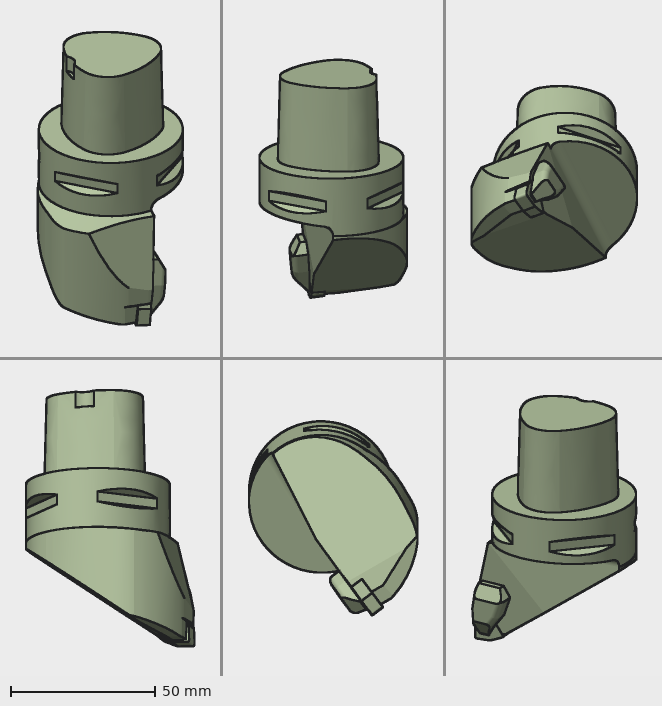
import cadquery as cq
import math


shank_length = 30.0
shank_taper = math.degrees(math.atan(1 / 40))
lobe_reach = 18.8
flank_reach = 16.1
lobe_radius = 11.1
lobe_step = 60
notch_radius = 4.6
notch_floor_y = -13.8
notch_height = 5.6

flange_radius = 25.0
flange_height = 20.9
slot_count = 4
slot_start_angle = 45
slot_flat_distance = 22.1
slot_mid_z = -10.1
slot_floor_height = 3.5
slot_mouth_height = 6.5
front_face_y = 5.0
relief_edge_z = -16.0
relief_root_y = 8.6
relief_root_z = -17.4

overlap = 1.0
cutter_size = 140.0

head_side_x = 34.3
head_back_y = -27.97
rim_arc_angle = 210
blend_start = (-11.9, -22.0)
blend_end = (-9.05, -23.5)
back_arc_mid = (-0.6, -26.85)
back_flat_start_x = 8.3
back_flat_end_x = 14.25
corner_mid = (18.0, -27.51)
corner_end = (21.5, -26.2)
side_arc_mid = (29.9, -16.8)
side_flat_start = (33.7, -7.2)

cone_slope = math.tan(math.radians(15))
outer_slope = math.tan(math.radians(15.4))
outer_straight_z = -46.5
seat_relief_z = -51.8
seat_relief_x = 33.4
head_bottom_z = -58.6
heel_x = 28.0
heel_z = -58.2
knee_x = 21.4
knee_z = -55.1
ramp_start_z = -22.0
clearance_point = (21.5, -26.2, -54.3)
clearance_fall_x = 0.115
clearance_fall_y = 0.178

insert_circle = 9.525
insert_thickness = 4.76
nose_radius = 0.8
corner_count = 3
corner_angle = 80
middle_angle = 160
tip_direction = 45
insert_center = (30.05, 1.19, -54.87)
rake_tilt = math.tan(math.radians(6))

clamp_outline = [
    (-11.0, -14.2), (-8.5, -18.2), (0.5, -18.2), (2.6, -9.0),
    (2.6, 2.5), (-0.9, 2.5), (-2.8, -0.6), (-8.0, -7.0),
]
clamp_height = 5.4
clamp_edge = 2.0
nose_slope_start = -4.6
nose_thickness = 0.4
tail_slope_start = -13.6
tail_thickness = 2.2

rake_plane = cq.Plane(
    origin=insert_center,
    xDir=(1, -rake_tilt, 0),
    normal=(rake_tilt, 1, -rake_tilt),
)


def polar(radius, degrees):
    angle = math.radians(degrees)
    return (radius * math.cos(angle), radius * math.sin(angle))


def make_shank():
    """Rounded-triangle taper with a notch in its end, resting on the flange."""
    lobe_offset = lobe_reach - lobe_radius
    gap = flank_reach - lobe_radius
    flank_offset = (lobe_offset**2 - gap**2) / (2 * gap - lobe_offset)
    flank_radius = flank_reach + flank_offset
    lobe_x, lobe_y = polar(lobe_offset, -30)
    stretch = flank_radius / (flank_radius - lobe_radius)
    joint_x = lobe_x * stretch
    joint_y = flank_offset + (lobe_y - flank_offset) * stretch
    joint_radius = math.hypot(joint_x, joint_y)
    half_flank = math.degrees(math.atan2(joint_x, -joint_y))

    profile = cq.Workplane("XY").moveTo(*polar(joint_radius, -90 - half_flank))
    for flank_angle in (-90, 30, 150):
        lobe_angle = flank_angle + lobe_step
        profile = profile.threePointArc(
            polar(flank_reach, flank_angle), polar(joint_radius, flank_angle + half_flank)
        )
        profile = profile.threePointArc(
            polar(lobe_reach, lobe_angle), polar(joint_radius, flank_angle + 2 * lobe_step - half_flank)
        )
    shank = profile.close().extrude(shank_length, taper=shank_taper)
    notch = (
        cq.Workplane("XY", origin=(0, notch_floor_y - notch_radius, shank_length - notch_height))
        .circle(notch_radius)
        .extrude(notch_height + overlap)
    )
    return shank.cut(notch)


def make_flange():
    """Gripper flange with four V slots, its underside cleared on the +Y half."""
    flange = cq.Workplane("XY").circle(flange_radius).extrude(-flange_height)
    depth = flange_radius + overlap - slot_flat_distance
    flare = (slot_mouth_height - slot_floor_height) / 2
    flare *= depth / (flange_radius - slot_flat_distance)
    half_floor = slot_floor_height / 2
    slot = (
        cq.Workplane("XZ", origin=(slot_flat_distance, 0, slot_mid_z))
        .polyline([
            (0, -half_floor), (depth, -half_floor - flare),
            (depth, half_floor + flare), (0, half_floor),
        ])
        .close()
        .extrude(flange_radius, both=True)
    )
    for i in range(slot_count):
        flange = flange.cut(slot.rotate((0, 0, 0), (0, 0, 1), slot_start_angle + i * 360 / slot_count))

    slope = (relief_edge_z - relief_root_z) / (flange_radius - relief_root_y)
    end_y = flange_radius + overlap
    root_width = relief_root_y - front_face_y
    root_drop = flange_height + relief_root_z
    bulge = 1 - math.sqrt(0.5)
    relief = (
        cq.Workplane("YZ", origin=(-end_y, 0, 0))
        .moveTo(front_face_y, -flange_height - overlap)
        .lineTo(front_face_y, -flange_height)
        .threePointArc(
            (front_face_y + bulge * root_width, relief_root_z - bulge * root_drop),
            (relief_root_y, relief_root_z),
        )
        .lineTo(end_y, relief_edge_z + slope * overlap)
        .lineTo(end_y, -flange_height - overlap)
        .close()
        .extrude(2 * end_y)
    )
    return flange.cut(relief)


def make_head():
    """Slanted head below the flange, with its front cut down to the rake plane."""
    plan = (
        cq.Workplane("XY", origin=(0, 0, head_bottom_z - overlap))
        .moveTo(-math.sqrt(flange_radius**2 - front_face_y**2), front_face_y)
        .threePointArc(polar(flange_radius, rim_arc_angle), blend_start)
        .lineTo(*blend_end)
        .threePointArc(back_arc_mid, (back_flat_start_x, head_back_y))
        .lineTo(back_flat_end_x, head_back_y)
        .threePointArc(corner_mid, corner_end)
        .threePointArc(side_arc_mid, side_flat_start)
        .lineTo(head_side_x, 0)
        .lineTo(head_side_x, front_face_y)
        .close()
        .extrude(-head_bottom_z)
    )
    top_z = -flange_height + overlap
    profile = (
        cq.Workplane("XZ", origin=(0, front_face_y, 0))
        .polyline([
            (-flange_radius, top_z),
            (head_side_x - outer_slope * (top_z - outer_straight_z), top_z),
            (head_side_x, outer_straight_z),
            (head_side_x, seat_relief_z),
            (seat_relief_x, seat_relief_z),
            (seat_relief_x, head_bottom_z),
            (heel_x, heel_z),
            (knee_x, knee_z),
            (-flange_radius, ramp_start_z),
        ])
        .close()
        .extrude(front_face_y - head_back_y)
    )
    cone_end = 2 * flange_radius
    envelope = (
        cq.Workplane("XZ")
        .polyline([
            (0, -flange_height),
            (flange_radius, -flange_height),
            (cone_end, -flange_height - cone_slope * (cone_end - flange_radius)),
            (cone_end, head_bottom_z - overlap),
            (0, head_bottom_z - overlap),
        ])
        .close()
        .revolve(360, (0, 0), (0, 1))
    )
    clearance = cq.Workplane(cq.Plane(
        origin=clearance_point,
        xDir=(1, 0, -clearance_fall_x),
        normal=(-clearance_fall_x, -clearance_fall_y, -1),
    )).rect(cutter_size, cutter_size).extrude(flange_radius)
    above_rake = cq.Workplane(rake_plane).rect(cutter_size, cutter_size).extrude(flange_radius)
    return plan.intersect(profile).intersect(envelope).cut(clearance).cut(above_rake)


def make_clamp_slope_cutter(slope_start, end, end_thickness):
    """Wedge above the slope from full height at slope_start to end_thickness at the clamp end."""
    extra_run = overlap * math.copysign(1, end - slope_start)
    extra_rise = overlap * (clamp_height - end_thickness) / abs(end - slope_start)
    side_plane = cq.Plane(origin=insert_center, xDir=rake_plane.yDir, normal=rake_plane.xDir)
    top = clamp_height + extra_rise
    return (
        cq.Workplane(side_plane)
        .polyline([
            (slope_start - extra_run, top),
            (end + extra_run, end_thickness - extra_rise),
            (end + extra_run, top),
        ])
        .close()
        .extrude(cutter_size / 2, both=True)
    )


def make_clamp():
    """Rounded finger that rises from the rake plane and holds the insert."""
    clamp = (
        cq.Workplane(rake_plane)
        .polyline(clamp_outline)
        .close()
        .extrude(clamp_height)
        .faces(cq.selectors.DirectionMinMaxSelector(rake_plane.zDir))
        .edges()
        .fillet(clamp_edge)
    )
    along_clamp = [along for across, along in clamp_outline]
    for slope_start, end, end_thickness in (
        (nose_slope_start, max(along_clamp), nose_thickness),
        (tail_slope_start, min(along_clamp), tail_thickness),
    ):
        clamp = clamp.cut(make_clamp_slope_cutter(slope_start, end, end_thickness))
    return clamp


def make_insert():
    """Trigon plate with its top in the rake plane and rounded cutting corners."""
    inscribed_radius = insert_circle / 2
    corner_reach = inscribed_radius / math.sin(math.radians(corner_angle / 2))
    middle_reach = inscribed_radius / math.sin(math.radians(middle_angle / 2))
    corner_angles = [tip_direction + i * 360 / corner_count for i in range(corner_count)]
    outline = []
    for angle in corner_angles:
        outline.append(polar(corner_reach, angle))
        outline.append(polar(middle_reach, angle + 180 / corner_count))
    blank = cq.Workplane(rake_plane).polyline(outline).close().extrude(-insert_thickness)
    noses = []
    for angle in corner_angles:
        tip = cq.Vector(*polar(corner_reach, angle), -insert_thickness / 2)
        noses.append(cq.selectors.NearestToPointSelector(rake_plane.toWorldCoords(tip).toTuple()))
    nose_edges = [blank.edges(nose).val() for nose in noses]
    return blank.newObject(nose_edges).fillet(nose_radius)


insert = make_insert()
holder = make_shank().union(make_flange()).union(make_head()).union(make_clamp()).cut(insert)

result = cq.Compound.makeCompound([holder.val(), insert.val()])